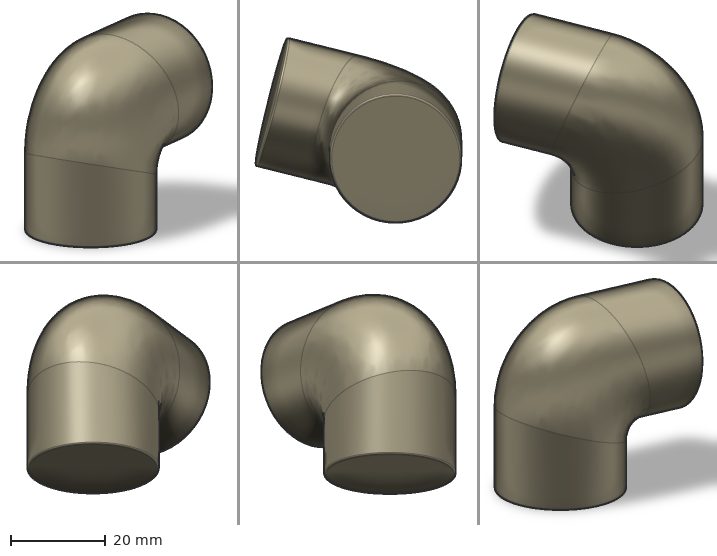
import cadquery as cq
import math

overall = 40.9
pipe_diameter = 27.8
collar_length = 10.22
outer_bend_radius = 21.9
end_round = 0.4
bend_sections = 13

pipe_radius = pipe_diameter / 2
axis_height = overall - pipe_radius
inner_bend_radius = overall - pipe_diameter - collar_length

inner_centre = (pipe_radius + inner_bend_radius, collar_length)
outer_centre = (outer_bend_radius - pipe_radius, overall - outer_bend_radius)


def arc_point(centre, radius, angle):
    """Point (Y, Z) on a bend arc; angle 0 joins the upright leg, 90 degrees the level leg."""
    return (centre[0] - radius * math.cos(angle), centre[1] + radius * math.sin(angle))


def bend_section(angle):
    """Elliptical pipe section spanning the inner and outer bend arcs."""
    inner_y, inner_z = arc_point(inner_centre, inner_bend_radius, angle)
    outer_y, outer_z = arc_point(outer_centre, outer_bend_radius, angle)
    across_y = inner_y - outer_y
    across_z = inner_z - outer_z
    half_span = math.hypot(across_y, across_z) / 2
    plane = cq.Plane(
        origin=(0, (inner_y + outer_y) / 2, (inner_z + outer_z) / 2),
        xDir=(0, across_y, across_z),
        normal=(0, -across_z, across_y),
    )
    return cq.Workplane(plane).ellipse(half_span, pipe_radius).wires().val()


def make_bend():
    """Smooth bend lofted through evenly turned sections."""
    step = math.pi / 2 / (bend_sections - 1)
    sections = [bend_section(i * step) for i in range(bend_sections)]
    return cq.Workplane(cq.Solid.makeLoft(sections))


def make_upright_leg():
    """Round-edged cylinder whose slanted top meets the start of the bend."""
    cylinder = cq.Workplane("XY").circle(pipe_radius).extrude(overall).faces("<Z").edges().fillet(end_round)
    side_outline = (
        cq.Workplane("YZ")
        .moveTo(-pipe_radius, 0)
        .lineTo(pipe_radius, 0)
        .lineTo(pipe_radius, inner_centre[1])
        .lineTo(-pipe_radius, outer_centre[1])
        .close()
        .extrude(pipe_radius, both=True)
    )
    return cylinder.intersect(side_outline)


def make_level_leg(upright_leg):
    """Copy of the upright leg mirrored across the diagonal plane of the elbow."""
    return upright_leg.mirror(cq.Vector(0, 1, 1), (0, 0, axis_height))


upright_leg = make_upright_leg()
result = upright_leg.union(make_bend()).union(make_level_leg(upright_leg))